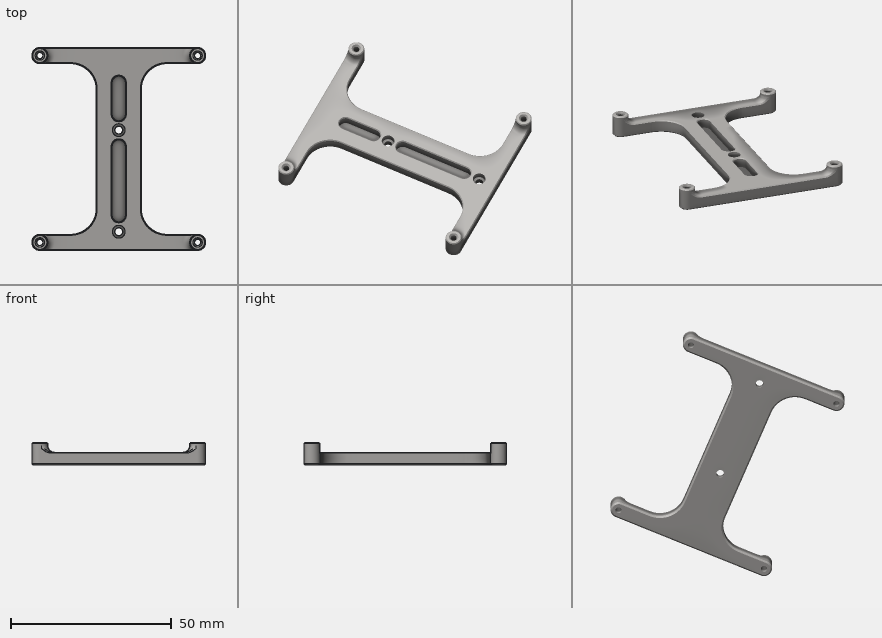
import cadquery as cq
import math

length_x = 54.0
length_y = 63.0
height = 7.0
plate_thickness = 4.05
underside_chamfer = 0.5
rim_chamfer = 0.3
chamfer_angle = 45

boss_diameter = 5.0
boss_hole_diameter = 1.9
bore_chamfer = 0.5
boss_blend_radius = 2.0
boss_radius = boss_diameter / 2
boss_x = length_x / 2 - boss_radius
boss_y = length_y / 2 - boss_radius
rim_chamfer_runout = 0.5
boss_points = [(sx * boss_x, sy * boss_y) for sx in (-1, 1) for sy in (-1, 1)]

web_width = 14.0
web_corner_radius = 8.0

mount_hole_diameter = 2.4
counterbore_diameter = 4.0
counterbore_depth = 2.0
mount_hole_y = [5.85, -25.7]

pocket_width = 4.1
pocket_depth = 3.0
pockets = [(15.7, 13.85), (-9.9, 25.45)]


def arm(y):
    """Round-ended arm with a boss-sized tip at each end."""
    return cq.Workplane("XY").center(0, y).slot2D(length_x, boss_diameter).extrude(height)


def frame_blank():
    """I-shaped blank at full height with rounded inner corners."""
    web = cq.Workplane("XY").rect(web_width, 2 * boss_y).extrude(height)
    blank = web.union(arm(boss_y)).union(arm(-boss_y))
    inner_y = boss_y - boss_radius
    for sx in (-1, 1):
        for sy in (-1, 1):
            corner = cq.selectors.NearestToPointSelector((sx * web_width / 2, sy * inner_y, height / 2))
            blank = blank.edges(corner).fillet(web_corner_radius)
    return blank


def boss_core():
    """Boss above the plate, flaring into the plate with a concave blend."""
    foot_radius = boss_radius + boss_blend_radius
    blend_top = plate_thickness + boss_blend_radius
    sag = boss_blend_radius * (1 - math.sqrt(0.5))
    return (
        cq.Workplane("XZ")
        .moveTo(0, plate_thickness)
        .lineTo(foot_radius, plate_thickness)
        .threePointArc((boss_radius + sag, plate_thickness + sag), (boss_radius, blend_top))
        .lineTo(boss_radius, height)
        .lineTo(0, height)
        .close()
        .revolve(360, (0, 0), (0, 1))
    )


def space_above_plate(boss_margin):
    """Material to clear above the plate, stopping boss_margin short of the boss axes in X."""
    space = (
        cq.Workplane("XY", origin=(0, 0, plate_thickness))
        .rect(2 * (boss_x - boss_margin), length_y)
        .extrude(height - plate_thickness)
    )
    for x, y in boss_points:
        space = space.cut(boss_core().translate((x, y, 0)))
    return space


def chamfered_frame():
    """Frame with chamfers along the plate rim, the boss rims and the underside."""
    frame = frame_blank().cut(space_above_plate(rim_chamfer_runout))
    rim_points = [(web_width / 2, 0), (-web_width / 2, 0), (0, length_y / 2), (0, -length_y / 2)]
    for x, y in rim_points:
        rim_edge = cq.selectors.NearestToPointSelector((x, y, plate_thickness))
        frame = frame.edges(rim_edge).chamfer(rim_chamfer)
    frame = frame.cut(space_above_plate(0))
    frame = frame.faces(">Z").edges().chamfer(rim_chamfer)
    return frame.faces("<Z").edges().chamfer(underside_chamfer)


def boss_bore():
    """Through bore of a boss with a countersunk mouth at the top."""
    bore_radius = boss_hole_diameter / 2
    return (
        cq.Workplane("XZ")
        .lineTo(bore_radius, 0)
        .lineTo(bore_radius, height - bore_chamfer)
        .lineTo(bore_radius + bore_chamfer, height)
        .lineTo(0, height)
        .close()
        .revolve(360, (0, 0), (0, 1))
    )


def mount_hole(y):
    """Through hole with a counterbore sunk from the plate's top face."""
    seat = plate_thickness - counterbore_depth
    hole = cq.Workplane("XY").center(0, y).circle(mount_hole_diameter / 2).extrude(plate_thickness)
    counterbore = (
        cq.Workplane("XY", origin=(0, y, seat))
        .circle(counterbore_diameter / 2)
        .extrude(counterbore_depth)
    )
    return hole.union(counterbore)


def pocket(y, length):
    """Round-ended blind pocket with a chamfered mouth."""
    body = (
        cq.Workplane("XY", origin=(0, y, plate_thickness - pocket_depth))
        .slot2D(length, pocket_width, 90)
        .extrude(pocket_depth)
    )
    mouth = (
        cq.Workplane("XY", origin=(0, y, plate_thickness))
        .slot2D(length + 2 * rim_chamfer, pocket_width + 2 * rim_chamfer, 90)
        .extrude(-rim_chamfer, taper=chamfer_angle)
    )
    return body.union(mouth)


result = chamfered_frame()
for x, y in boss_points:
    result = result.cut(boss_bore().translate((x, y, 0)))
for y, length in pockets:
    result = result.cut(pocket(y, length))
for y in mount_hole_y:
    result = result.cut(mount_hole(y))